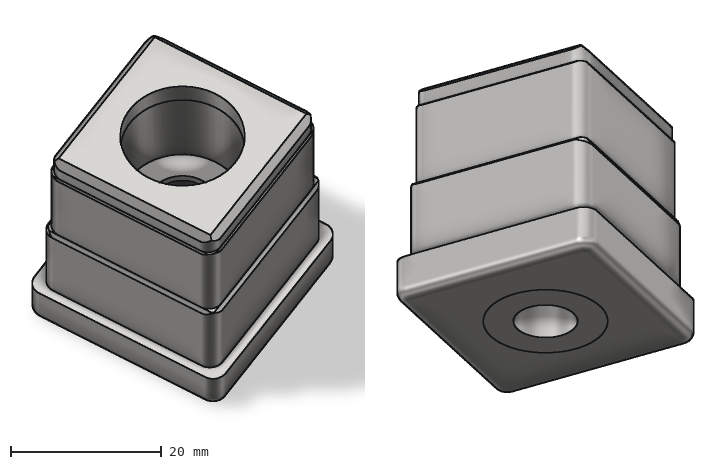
import cadquery as cq
import math

flange_top = 6.0
lower_top = 18.0
middle_top = 30.0
cap_top = 33.0

flange_side = 30.0
lower_side = 27.3
middle_side = 26.3
cap_side = 25.8

corner_radius = 2.0
flange_bottom_fillet = 1.5
cap_chamfer = 1.0
lower_chamfer = (lower_side - middle_side) / 2
middle_chamfer = (middle_side - cap_side) / 2

relief_angle = 20.0
relief_start = 17.15
relief_shift = 0.15

bore_diameter = 16.5
thread_diameter = 8.5
thread_countersink = 0.45


def square_block(side, bottom, top):
    return cq.Workplane("XY").workplane(offset=bottom).rect(side, side).extrude(top - bottom)


def rounded_block(side, bottom, top):
    """Square block with rounded vertical edges."""
    return square_block(side, bottom, top).edges("|Z").fillet(corner_radius)


def cut_bore(body):
    bore = cq.Workplane("XY").circle(bore_diameter / 2).extrude(cap_top)
    return body.cut(bore)


def mitre_top(body, side, bottom, top, chamfer):
    """Bevel the four top edges with flat 45 degree planes that meet in sharp mitres."""
    mitred_block = square_block(side, bottom, top).faces(">Z").edges().chamfer(chamfer)
    return body.intersect(mitred_block)


def layer(side, bottom, top, chamfer):
    """One bored layer with rounded corners and a bevelled top."""
    block = rounded_block(side, bottom, top)
    return cut_bore(mitre_top(block, side, bottom, top, chamfer))


def make_flange():
    block = rounded_block(flange_side, 0, flange_top)
    return cut_bore(block.faces("<Z").edges().fillet(flange_bottom_fillet))


def make_lower_block():
    """Lower layer with a drafted -X top edge; the draft fades out around the two -X corners."""
    block = layer(lower_side, flange_top, lower_top, lower_chamfer)
    height = lower_top - flange_top
    base_growth = (relief_start - flange_top) * math.tan(math.radians(relief_angle)) + relief_shift
    base_side = lower_side + 2 * base_growth
    base = cq.Sketch().rect(base_side, base_side).vertices().fillet(corner_radius + base_growth)
    envelope = cq.Workplane("XY").placeSketch(base).extrude(height, taper=relief_angle)
    return block.intersect(envelope.translate((relief_shift, 0, flange_top)))


def make_bush():
    """Threaded bush filling the bore through the two lowest layers, countersunk on top."""
    bush = cq.Workplane("XY").circle(bore_diameter / 2).circle(thread_diameter / 2).extrude(lower_top)
    return bush.faces(">Z").edges(cq.selectors.RadiusNthSelector(0)).chamfer(thread_countersink)


flange = make_flange()
lower_block = make_lower_block()
middle_block = layer(middle_side, lower_top, middle_top, middle_chamfer)
cap = layer(cap_side, middle_top, cap_top, cap_chamfer)
bush = make_bush()

result = cq.Compound.makeCompound(
    [flange.val(), lower_block.val(), middle_block.val(), cap.val(), bush.val()]
)